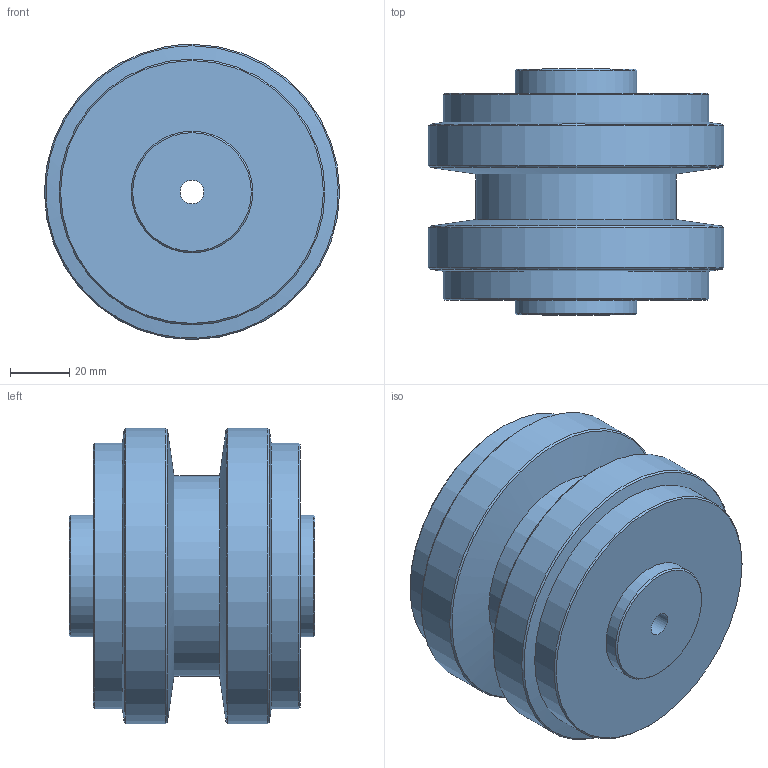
import cadquery as cq
import math

body_length = 70.0
shoulder_radius = 45.0
flange_radius = 50.0
flange_outer_face = 25.2
core_radius = 34.0
groove_width = 15.5
flange_taper_deg = 8.0

hub_radius = 20.6
front_hub_length = 5.0
back_hub_length = 8.25
bore_radius = 4.0

edge_break = 0.5

centre_shift = (front_hub_length - back_hub_length) / 2

taper = math.tan(math.radians(flange_taper_deg))


def disc(radius, y_start, y_end):
    """Solid disc on the Y axis between two positions along it."""
    plane = cq.Plane(origin=(0, y_start, 0), xDir=(0, 0, 1), normal=(0, 1, 0))
    return cq.Workplane(plane).circle(radius).extrude(y_end - y_start)


def make_flange():
    """+Y flange: both faces slope inwards to the rim, whose two edges are chamfered."""
    rim_inner = groove_width / 2 + (flange_radius - core_radius) * taper
    rim_outer = flange_outer_face - (flange_radius - shoulder_radius) * taper
    profile = (
        cq.Workplane("YZ")
        .moveTo(groove_width / 2, 0)
        .lineTo(groove_width / 2, core_radius)
        .lineTo(rim_inner, flange_radius)
        .lineTo(rim_outer, flange_radius)
        .lineTo(flange_outer_face, shoulder_radius)
        .lineTo(flange_outer_face, 0)
        .close()
    )
    flange = profile.revolve(360, (0, 0, 0), (1, 0, 0))
    rim_edges = cq.selectors.RadiusNthSelector(-1)
    return flange.edges("%CIRCLE").edges(rim_edges).chamfer(edge_break)


def make_end(hub_length):
    """Flange, shoulder and hub on the +Y side of the mid-plane."""
    body_end = body_length / 2
    shoulder = disc(shoulder_radius, flange_outer_face, body_end).faces(">Y").edges().chamfer(edge_break)
    hub = disc(hub_radius, body_end, body_end + hub_length).faces(">Y").edges().chamfer(edge_break)
    return make_flange().union(shoulder).union(hub)


back_end = make_end(back_hub_length)
front_end = make_end(front_hub_length).mirror("XZ")
core = disc(core_radius, -groove_width / 2, groove_width / 2)
bore = disc(bore_radius, -body_length / 2 - front_hub_length, body_length / 2 + back_hub_length)

result = core.union(back_end).union(front_end).cut(bore).translate((0, centre_shift, 0))